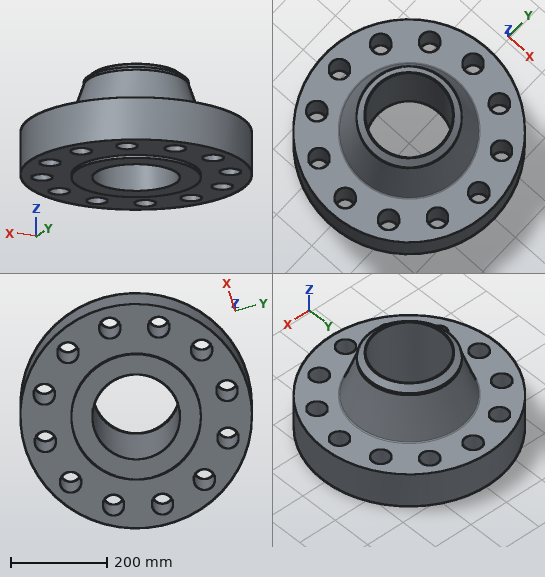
import cadquery as cq
import math

flange_diameter = 482.5
flange_thickness = 92.0
face_diameter = 269.5
face_height = 6.5

overall_height = 219.0
hub_base_diameter = 291.5
neck_diameter = 219.0
neck_straight_length = 6.0
hub_fillet_radius = 3.0

bore_diameter = 182.5
land_width = 2.0
bevel_angle = 37.5

bolt_count = 12
bolt_circle_diameter = 393.5
bolt_hole_diameter = 44.5

flange_radius = flange_diameter / 2
face_radius = face_diameter / 2
hub_base_radius = hub_base_diameter / 2
neck_radius = neck_diameter / 2
bore_radius = bore_diameter / 2
land_radius = bore_radius + land_width
flange_top = face_height + flange_thickness
bevel_height = (neck_radius - land_radius) * math.tan(math.radians(bevel_angle))
bevel_bottom = overall_height - bevel_height
hub_top = bevel_bottom - neck_straight_length


def make_body():
    """Revolve the flange, hub and bore as one half section."""
    section = (
        cq.Workplane("XZ")
        .moveTo(bore_radius, 0)
        .lineTo(face_radius, 0)
        .lineTo(face_radius, face_height)
        .lineTo(flange_radius, face_height)
        .lineTo(flange_radius, flange_top)
        .lineTo(hub_base_radius, flange_top)
        .lineTo(neck_radius, hub_top)
        .lineTo(neck_radius, bevel_bottom)
        .lineTo(land_radius, overall_height)
        .lineTo(bore_radius, overall_height)
        .close()
    )
    return section.revolve(360, (0, 0, 0), (0, 1, 0))


def round_hub_base(body):
    """Round the inner corner where the hub cone meets the plate."""
    root_edge = cq.selectors.RadiusNthSelector(-2)
    return body.edges(root_edge).fillet(hub_fillet_radius)


def drill_bolt_holes(body):
    """Drill the bolt circle through the plate, starting with a hole on +X."""
    drills = (
        cq.Workplane("XY")
        .polarArray(bolt_circle_diameter / 2, 0, 360, bolt_count)
        .circle(bolt_hole_diameter / 2)
        .extrude(overall_height)
    )
    return body.cut(drills)


result = drill_bolt_holes(round_hub_base(make_body()))